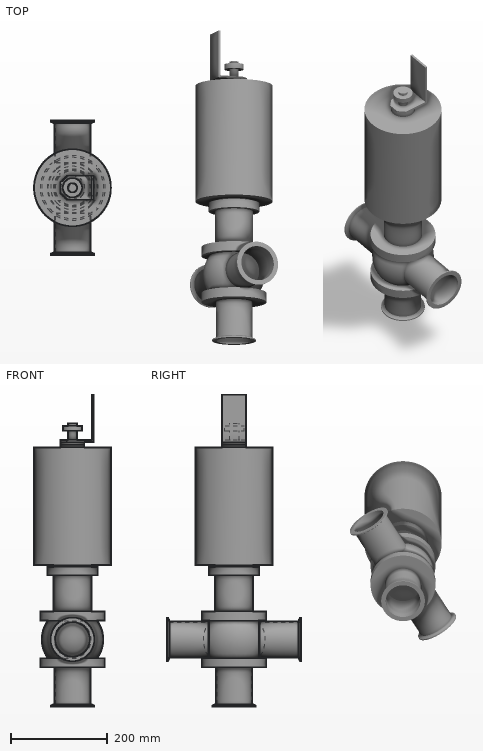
import cadquery as cq

ball_diameter = 129.0
port_height = 140.5
port_reach = 280.0 / 2
flange_diameter = 135.0
flange_thickness = 19.5
flange_gap = 78.0
flange_top = port_height + flange_gap / 2 + flange_thickness
lower_flange_bottom = port_height - flange_gap / 2 - flange_thickness

tube_diameter = 76.0
bore_diameter = 72.0
rim_diameter = 91.0
rim_thickness = 2.5
rim_taper_end = 6.0

neck_diameter = 80.0
clamp_diameter = 105.0
clamp_bottom = 274.0
clamp_top = 291.0
actuator_diameter = 160.5
actuator_bottom = 295.0
actuator_top = 540.0

boss_diameter = 50.0
boss_top = 545.5

total_height = 650.0
bracket_bottom = 551.5
bracket_thickness = 4.5
bracket_top = bracket_bottom + bracket_thickness
bracket_width = boss_diameter
bracket_corner_cut = 13.5
bracket_back = 44.0
stem_diameter = 19.5
stem_top = 591.0
stem_foot_diameter = 16.0
stem_foot_radius = (stem_diameter - stem_foot_diameter) / 2
knob_diameter = 40.0
knob_bottom = 575.0
knob_top = 585.0


def disc(diameter, bottom, top):
    """Upright cylinder on the valve axis."""
    return cq.Workplane("XY").workplane(offset=bottom).circle(diameter / 2).extrude(top - bottom)


def ball():
    return cq.Workplane("XY").sphere(ball_diameter / 2).translate((0, 0, port_height))


def ferrule_port(length):
    """Hollow tube along +Z with its tapered rim at Z = 0."""
    bore_radius = bore_diameter / 2
    tube_radius = tube_diameter / 2
    rim_radius = rim_diameter / 2
    return (
        cq.Workplane("XZ")
        .moveTo(bore_radius, 0)
        .lineTo(rim_radius, 0)
        .lineTo(rim_radius, rim_thickness)
        .lineTo(tube_radius, rim_taper_end)
        .lineTo(tube_radius, length)
        .lineTo(bore_radius, length)
        .close()
        .revolve(360, (0, 0, 0), (0, 1, 0))
    )


def side_port(side):
    """Port along Y (side -1 or +1) whose tube runs in to the valve axis."""
    port = ferrule_port(port_reach).rotate((0, 0, 0), (1, 0, 0), side * 90)
    return port.translate((0, side * port_reach, port_height))


def make_valve():
    lower_flange_top = lower_flange_bottom + flange_thickness
    valve = ball().intersect(disc(ball_diameter, lower_flange_bottom, flange_top))
    for side in (-1, 1):
        valve = valve.union(side_port(side))
    flanges = disc(flange_diameter, lower_flange_bottom, lower_flange_top).union(
        disc(flange_diameter, flange_top - flange_thickness, flange_top)
    )
    return (
        valve.union(flanges)
        .union(ferrule_port(lower_flange_bottom))
        .union(disc(neck_diameter, flange_top, actuator_bottom))
        .union(disc(clamp_diameter, clamp_bottom, clamp_top))
        .union(disc(actuator_diameter, actuator_bottom, actuator_top))
        .union(disc(boss_diameter, actuator_top, boss_top))
    )


def angle_bracket():
    """L-shaped plate: a foot with two cut corners and an upright tab."""
    front = -bracket_width / 2
    foot = (
        cq.Workplane("XY")
        .box(bracket_back - front, bracket_width, bracket_thickness, centered=(False, True, False))
        .edges("|Z and <X")
        .chamfer(bracket_corner_cut)
        .translate((front, 0, bracket_bottom))
    )
    tab = (
        cq.Workplane("XY")
        .box(bracket_thickness, bracket_width, total_height - bracket_bottom, centered=(False, True, False))
        .translate((bracket_back - bracket_thickness, 0, bracket_bottom))
    )
    return foot.union(tab)


def stem():
    """Pin with a rounded lower edge, standing on the bracket foot."""
    return disc(stem_diameter, bracket_top, stem_top).faces("<Z").edges().fillet(stem_foot_radius)


def make_indicator():
    return (
        disc(boss_diameter, boss_top, bracket_bottom)
        .union(angle_bracket())
        .union(stem())
        .union(disc(knob_diameter, knob_bottom, knob_top))
    )


valve = make_valve()
indicator = make_indicator()

result = cq.Compound.makeCompound([valve.val(), indicator.val()])